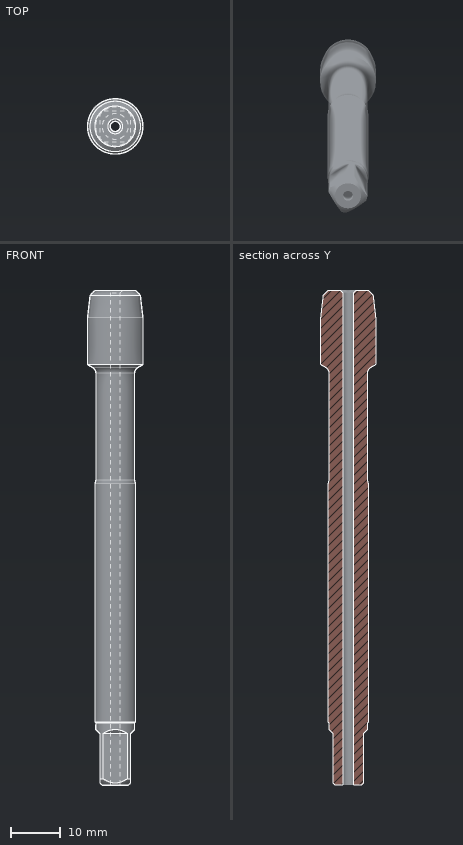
import cadquery as cq
import math

LENGTH = 100.0

HEAD_DIAMETER = 11.24
HEAD_BOTTOM_Z = 85.0
LEAD_LENGTH = 5.5
LEAD_SMALL_DIAMETER = 10.2
TIP_DIAMETER = 8.24
TIP_CHAMFER = (LEAD_SMALL_DIAMETER - TIP_DIAMETER) / 2

BLEND_BOTTOM_Z = 83.3
BLEND_ANGLE = math.radians(60)

NECK_DIAMETER = 7.88
SHANK_DIAMETER = 8.2
DRIVE_DIAMETER = 7.88
SHANK_TOP_Z = 61.0
NECK_TAPER_LENGTH = 0.7
SHANK_BOTTOM_Z = 12.8
DRIVE_TAPER_LENGTH = 0.16

SQUARE_SIZE = 6.2
SQUARE_SIDES = 4
FLAT_LENGTH = 10.45
RUNOUT_ANGLE = math.radians(45)
END_DIAMETER = 5.24
END_CHAMFER = (DRIVE_DIAMETER - END_DIAMETER) / 2

HOLE_DIAMETER = 2.0
COUNTERSINK_DIAMETER = 3.0
COUNTERSINK_ANGLE = math.radians(90)


def make_body():
    """Revolve the round body about the Z axis."""
    head_radius = HEAD_DIAMETER / 2
    neck_radius = NECK_DIAMETER / 2
    shank_radius = SHANK_DIAMETER / 2
    drive_radius = DRIVE_DIAMETER / 2

    step = head_radius - neck_radius
    rise = HEAD_BOTTOM_Z - BLEND_BOTTOM_Z
    blend_radius = (rise - step / math.tan(BLEND_ANGLE)) / math.tan(BLEND_ANGLE / 2)

    def blend_point(angle):
        """Point on the blend arc, at an angle above its tangent point with the neck."""
        return (
            neck_radius + blend_radius * (1 - math.cos(angle)),
            BLEND_BOTTOM_Z + blend_radius * math.sin(angle),
        )

    profile = (
        cq.Workplane("XZ")
        .moveTo(0, 0)
        .lineTo(END_DIAMETER / 2, 0)
        .lineTo(drive_radius, END_CHAMFER)
        .lineTo(drive_radius, SHANK_BOTTOM_Z - DRIVE_TAPER_LENGTH)
        .lineTo(shank_radius, SHANK_BOTTOM_Z)
        .lineTo(shank_radius, SHANK_TOP_Z)
        .lineTo(neck_radius, SHANK_TOP_Z + NECK_TAPER_LENGTH)
        .lineTo(neck_radius, BLEND_BOTTOM_Z)
        .threePointArc(blend_point(BLEND_ANGLE / 2), blend_point(BLEND_ANGLE))
        .lineTo(head_radius, HEAD_BOTTOM_Z)
        .lineTo(head_radius, LENGTH - LEAD_LENGTH)
        .lineTo(LEAD_SMALL_DIAMETER / 2, LENGTH - TIP_CHAMFER)
        .lineTo(TIP_DIAMETER / 2, LENGTH)
        .lineTo(0, LENGTH)
        .close()
    )
    return profile.revolve(360, (0, 0), (0, 1))


def cut_square_drive(body):
    """Cut four flats at the lower end, each running out along a sloping plane."""
    flat_offset = SQUARE_SIZE / 2
    outer_offset = SHANK_DIAMETER
    runout_height = (outer_offset - flat_offset) * math.tan(RUNOUT_ANGLE)
    cutter = (
        cq.Workplane("XZ")
        .moveTo(flat_offset, 0)
        .lineTo(outer_offset, 0)
        .lineTo(outer_offset, FLAT_LENGTH + runout_height)
        .lineTo(flat_offset, FLAT_LENGTH)
        .close()
        .extrude(SHANK_DIAMETER, both=True)
    )
    for side in range(SQUARE_SIDES):
        body = body.cut(cutter.rotate((0, 0, 0), (0, 0, 1), side * 360 / SQUARE_SIDES))
    return body


def cut_axial_hole(body):
    """Drill the hole through the full length and countersink it at the tip."""
    hole_radius = HOLE_DIAMETER / 2
    mouth_radius = COUNTERSINK_DIAMETER / 2
    mouth_depth = (mouth_radius - hole_radius) / math.tan(COUNTERSINK_ANGLE / 2)
    hole = (
        cq.Workplane("XZ")
        .moveTo(0, 0)
        .lineTo(hole_radius, 0)
        .lineTo(hole_radius, LENGTH - mouth_depth)
        .lineTo(mouth_radius, LENGTH)
        .lineTo(0, LENGTH)
        .close()
        .revolve(360, (0, 0), (0, 1))
    )
    return body.cut(hole)


result = cut_axial_hole(cut_square_drive(make_body()))